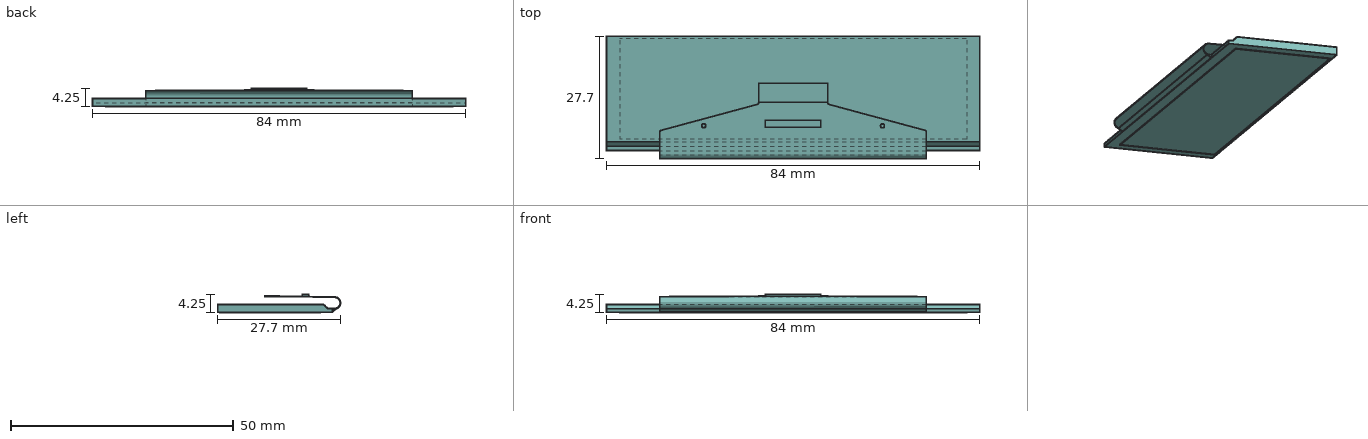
import cadquery as cq
import math

overall_depth = 27.65
overall_height = 4.25

slab_width = 84.0
slab_depth = 25.8
slab_thickness = 1.8
bevel_size = 1.0
shelf_depth = 1.0

film_width = 78.0
film_depth = 22.6
film_thickness = 0.15
film_back_offset = 0.5

sheet_width = 60.0
sheet_thickness = 0.1
sheet_tilt = math.radians(0.95)
shoulder_offset = 21.3
tab_root_offset = 15.3
tab_back_offset = 10.6
tab_width = 15.5
corner_radius = 0.5
fold_radius = 1.35

bead_reach = 0.9
bead_clearance = 0.1

stiffener_thickness = 0.15
stiffener_depth = 4.3

bar_width = 12.5
bar_depth = 1.5
bar_height = 0.54
bar_back_offset = 19.0
hole_diameter = 0.9
hole_spacing = 40.2
hole_offset = 20.2

slab_top_z = film_thickness + slab_thickness
shelf_z = slab_top_z - bevel_size
slab_front = -slab_depth
bevel_foot = slab_front + shelf_depth
bar_center = -bar_back_offset - bar_depth / 2
bar_base_z = overall_height - bar_height
fold_y = fold_radius - overall_depth


def sheet_top_z(y):
    """Height of the sheet's upper face: rising gently from the fold to the tab."""
    return bar_base_z + (y - bar_center) * math.tan(sheet_tilt)


fold_top_z = sheet_top_z(fold_y)


def make_slab():
    profile = [
        (0, film_thickness),
        (0, slab_top_z),
        (bevel_foot + bevel_size, slab_top_z),
        (bevel_foot, shelf_z),
        (slab_front, shelf_z),
        (slab_front, film_thickness),
    ]
    return cq.Workplane("YZ").polyline(profile).close().extrude(slab_width / 2, both=True)


def make_film():
    return (
        cq.Workplane("XY")
        .center(0, -film_back_offset - film_depth / 2)
        .rect(film_width, film_depth)
        .extrude(film_thickness)
    )


def make_sheet_outline():
    """Vertical prism with the plan outline of the sheet."""
    half_sheet = sheet_width / 2
    half_tab = tab_width / 2
    outline = [
        (-half_sheet, -overall_depth),
        (-half_sheet, -shoulder_offset),
        (-half_tab, -tab_root_offset),
        (-half_tab, -tab_back_offset),
        (half_tab, -tab_back_offset),
        (half_tab, -tab_root_offset),
        (half_sheet, -shoulder_offset),
        (half_sheet, -overall_depth),
    ]
    prism = cq.Workplane("XY").polyline(outline).close().extrude(overall_height)
    for y in (-shoulder_offset, -tab_root_offset):
        near_y = cq.selectors.BoxSelector(
            (-slab_width, y - corner_radius, 0), (slab_width, y + corner_radius, overall_height)
        )
        prism = prism.edges("|Z").edges(near_y).fillet(corner_radius)
    return prism


def make_upper_sheet():
    tab_z = sheet_top_z(-tab_back_offset)
    profile = [
        (-tab_back_offset, tab_z),
        (fold_y, fold_top_z),
        (fold_y, fold_top_z - sheet_thickness),
        (-tab_back_offset, tab_z - sheet_thickness),
    ]
    sheet = cq.Workplane("YZ").polyline(profile).close().extrude(sheet_width / 2, both=True)
    return sheet.intersect(make_sheet_outline())


def make_stiffener():
    underside_z = sheet_top_z(-tab_back_offset) - sheet_thickness
    return (
        cq.Workplane("XY", origin=(0, -tab_back_offset - stiffener_depth / 2, underside_z))
        .rect(tab_width, stiffener_depth)
        .extrude(-stiffener_thickness)
    )


def make_fold():
    """Half-round fold, made of two quarter turns, with the flat tail that rests on the shelf."""
    inner_radius = fold_radius - sheet_thickness
    middle_z = fold_top_z - fold_radius
    bottom_z = fold_top_z - 2 * fold_radius

    def on_arc(radius, degrees):
        angle = math.radians(degrees)
        return (fold_y - radius * math.cos(angle), middle_z + radius * math.sin(angle))

    profile = (
        cq.Workplane("YZ")
        .moveTo(*on_arc(fold_radius, 90))
        .threePointArc(on_arc(fold_radius, 45), on_arc(fold_radius, 0))
        .threePointArc(on_arc(fold_radius, -45), on_arc(fold_radius, -90))
        .lineTo(bevel_foot, bottom_z)
        .lineTo(bevel_foot, bottom_z + sheet_thickness)
        .lineTo(*on_arc(inner_radius, -90))
        .threePointArc(on_arc(inner_radius, -45), on_arc(inner_radius, 0))
        .threePointArc(on_arc(inner_radius, 45), on_arc(inner_radius, 90))
        .close()
    )
    return profile.extrude(sheet_width / 2, both=True)


def make_bead():
    """Wedge-shaped bead filling the corner between the slab's front face and the fold."""
    top_z = fold_top_z - 2 * fold_radius + sheet_thickness / 2
    profile = [
        (slab_front, top_z),
        (slab_front - bead_reach, top_z),
        (slab_front, film_thickness + bead_clearance),
    ]
    return cq.Workplane("YZ").polyline(profile).close().extrude(sheet_width / 2, both=True)


def make_bar():
    embed = sheet_thickness / 2
    return (
        cq.Workplane("XY", origin=(0, bar_center, bar_base_z - embed))
        .rect(bar_width, bar_depth)
        .extrude(bar_height + embed)
    )


def make_holes():
    return (
        cq.Workplane("XY", origin=(0, -hole_offset, slab_top_z))
        .pushPoints([(-hole_spacing / 2, 0), (hole_spacing / 2, 0)])
        .circle(hole_diameter / 2)
        .extrude(overall_height)
    )


result = (
    make_slab()
    .union(make_film())
    .union(make_fold())
    .union(make_bead())
    .union(make_upper_sheet())
    .union(make_stiffener())
    .cut(make_holes())
    .union(make_bar())
)